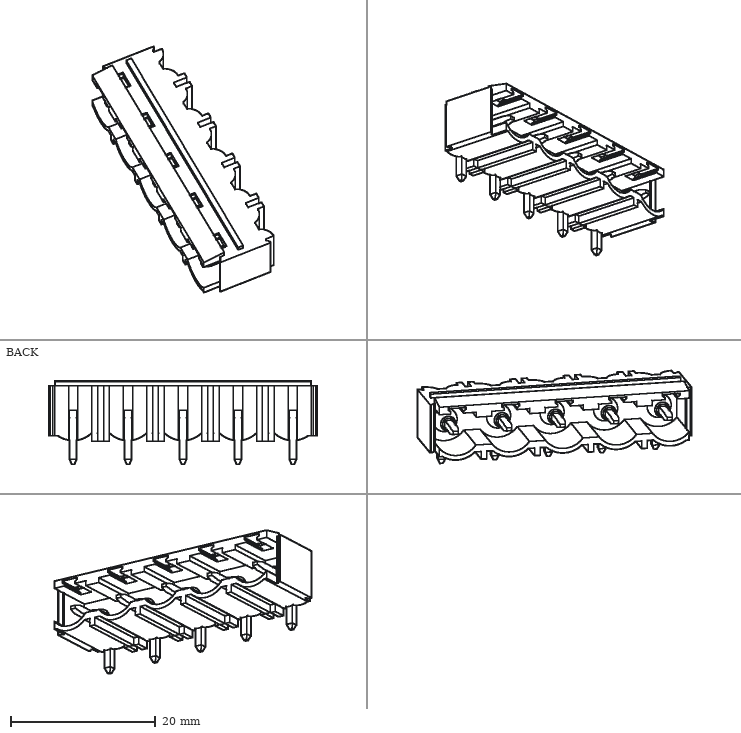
import cadquery as cq
import math


pin_count = 5
row_length = 30.5
pitch = row_length / (pin_count - 1)
pin_z = 3.8
pin_xs = [(i - (pin_count - 1) / 2) * pitch for i in range(pin_count)]
gap_xs = [x + pitch / 2 for x in pin_xs[:-1]]

overall_width = 37.28
body_width = 35.55
half_body = body_width / 2
body_top_z = 7.75
body_back_y = 10.77
end_bottom_z = 0.8

shell_inner_arc_z = 4.1
shell_inner_r = 3.3
shell_outer_r = 3.7
shelf_z = 1.1
valley_z = 2.12

cavity_depth = 7.45
ceiling_z = 6.85

tab_width = 2.15
tab_bottom_z = 6.15

lip_depth = 3.15
lip_flat_depth = 0.25
lip_top_z = 8.43
lip_front_z = 7.95

bar_front_y = 5.25
bar_back_y = 6.05
bar_top_z = 8.3

key_depth = 4.1
key_top_z = 7.65
key_top_width = 2.5
key_bottom_width = 1.8
key_rim_height = 0.22
key_neck_z = 7.12

wing_front_y = 2.1
wing_back_y = 9.88
wing_step = 0.37
wing_neck_width = 0.25
wing_edge_width = 0.2

notch_floor_y = 9.4
notch_width = 1.25

foot_back_y = 11.75
feet_width = 2.45
runner_width = 0.82
foot_gap_floor_y = 9.7

boss_base_r = 1.7
boss_shoulder_r = 1.05
boss_tip_r = 0.82
boss_cone_length = 1.85
boss_shoulder_length = 0.22

pin_size = 1.0
pin_tip_y = 0.9
pin_side_taper_y = 1.68
pin_top_taper_y = 2.1
pin_tip_width = 0.75
pin_tip_height = 0.45
leg_bottom_z = -3.17
leg_taper_z = -2.45
leg_tip_size = 0.4


def box(x_range, y_range, z_range):
    """Block between the given limits."""
    (x0, x1), (y0, y1), (z0, z1) = x_range, y_range, z_range
    return cq.Workplane("XY").box(x1 - x0, y1 - y0, z1 - z0, centered=False).translate((x0, y0, z0))


def centered_box(x, width, y_range, z_range):
    """Block of a given width about x."""
    return box((x - width / 2, x + width / 2), y_range, z_range)


def scalloped_block(arc_z, radius, flat_z, top_z, depth):
    """Full-width block with a flat underside and a round lobe below each contact."""
    block = centered_box(0, body_width, (0, depth), (flat_z, top_z))
    for x in pin_xs:
        lobe = cq.Workplane("XZ", origin=(x, 0, arc_z)).circle(radius).extrude(-depth)
        block = block.union(lobe)
    return block.intersect(centered_box(0, body_width, (0, depth), (0, top_z)))


def make_shell():
    """Outer body, with its two bottom end corners filled down to the end walls."""
    shell = scalloped_block(pin_z, shell_outer_r, shelf_z, body_top_z, body_back_y)
    for left_x, right_x in ((-half_body, pin_xs[0]), (pin_xs[-1], half_body)):
        shell = shell.union(box((left_x, right_x), (0, body_back_y), (end_bottom_z, pin_z)))
    return shell


def make_wing():
    """Dovetail wall on the +X end."""
    neck_x = half_body + wing_neck_width
    outer_x = overall_width / 2
    edge_x = outer_x - wing_edge_width
    front_neck_y = wing_front_y + wing_step
    back_neck_y = wing_back_y - wing_step
    outline = [
        (half_body, front_neck_y), (neck_x, front_neck_y), (edge_x, wing_front_y), (outer_x, wing_front_y),
        (outer_x, wing_back_y), (edge_x, wing_back_y), (neck_x, back_neck_y), (half_body, back_neck_y),
    ]
    height = body_top_z - end_bottom_z
    return cq.Workplane("XY").workplane(offset=end_bottom_z).polyline(outline).close().extrude(height)


def make_lip():
    """Lip with a sloping top."""
    profile = [
        (0, ceiling_z), (lip_depth, ceiling_z), (lip_depth, lip_top_z),
        (lip_depth - lip_flat_depth, lip_top_z), (0, lip_front_z),
    ]
    return cq.Workplane("YZ").workplane(offset=-half_body).polyline(profile).close().extrude(body_width)


def make_key_slot(x):
    """Slot under the lip, wider at the top, that opens through the roof behind the lip."""
    top = key_top_width / 2
    bottom = key_bottom_width / 2
    rim_z = key_top_z - key_rim_height
    profile = [
        (x - top, key_top_z), (x - top, rim_z), (x - bottom, key_neck_z), (x - bottom, ceiling_z),
        (x + bottom, ceiling_z), (x + bottom, key_neck_z), (x + top, rim_z), (x + top, key_top_z),
    ]
    slot = cq.Workplane("XZ").polyline(profile).close().extrude(-key_depth)
    opening = centered_box(x, key_top_width, (lip_depth, key_depth), (rim_z, body_top_z))
    return slot.union(opening)


def make_back_scallop(x):
    """Cutter for the notch behind a contact, flared by two arcs that meet the back face tangentially."""
    half_notch = notch_width / 2
    reach = half_body - pin_xs[-1]
    run = reach - half_notch
    rise = body_back_y - notch_floor_y
    radius = (run ** 2 + rise ** 2) / (2 * rise)
    half_angle = math.asin(run / radius) / 2
    mid_x = reach - radius * math.sin(half_angle)
    mid_y = body_back_y - radius * (1 - math.cos(half_angle))
    return (
        cq.Workplane("XY")
        .moveTo(x - half_notch, notch_floor_y)
        .lineTo(x + half_notch, notch_floor_y)
        .threePointArc((x + mid_x, mid_y), (x + reach, body_back_y))
        .lineTo(x - reach, body_back_y)
        .threePointArc((x - mid_x, mid_y), (x - half_notch, notch_floor_y))
        .close()
        .extrude(body_top_z)
    )


def make_boss(x):
    """Two-stage cone on the cavity back wall."""
    shoulder_y = cavity_depth - boss_cone_length
    tip_y = shoulder_y - boss_shoulder_length
    profile = [
        (0, cavity_depth), (boss_base_r, cavity_depth), (boss_shoulder_r, shoulder_y),
        (boss_tip_r, tip_y), (0, tip_y),
    ]
    boss = cq.Workplane("XY").polyline(profile).close().revolve(360, (0, 0), (0, 1))
    return boss.translate((x, 0, pin_z))


def make_pin_hole(x):
    """Square passage that the contact fills."""
    half = pin_size / 2
    return centered_box(x, pin_size, (0, notch_floor_y), (pin_z - half, pin_z + half))


def make_housing():
    """Scalloped shell with its cavity, end walls, lip, tabs, feet and bosses."""
    housing = make_shell()
    for x in pin_xs:
        housing = housing.cut(make_back_scallop(x))

    cavity = scalloped_block(shell_inner_arc_z, shell_inner_r, valley_z, ceiling_z, cavity_depth)
    housing = housing.cut(cavity)

    wing = make_wing()
    housing = housing.union(wing).union(wing.mirror("YZ"))
    housing = housing.union(make_lip())
    housing = housing.union(centered_box(0, body_width, (bar_front_y, bar_back_y), (body_top_z, bar_top_z)))

    for x in gap_xs:
        tab = centered_box(x, tab_width, (0, cavity_depth), (tab_bottom_z, ceiling_z))
        feet = centered_box(x, feet_width, (foot_gap_floor_y, foot_back_y), (0, body_top_z))
        foot_gap = centered_box(x, runner_width, (foot_gap_floor_y, foot_back_y), (0, body_top_z))
        runner = centered_box(x, runner_width, (0, foot_gap_floor_y), (0, shelf_z))
        housing = housing.union(tab).union(feet).cut(foot_gap).union(runner)

    for x in pin_xs:
        housing = housing.union(make_boss(x)).cut(make_key_slot(x)).cut(make_pin_hole(x))
    return housing


def tapered_outline(plane, tip_size, taper_y):
    """Outline of the mating bar, narrowing to its tip in the first direction of the plane."""
    half = pin_size / 2
    half_tip = tip_size / 2
    return cq.Workplane(plane).polyline([
        (-half, notch_floor_y), (-half, taper_y), (-half_tip, pin_tip_y),
        (half_tip, pin_tip_y), (half, taper_y), (half, notch_floor_y),
    ]).close()


def make_pin_bar(x):
    """Mating bar, whose top and bottom tapers start further back than its side tapers."""
    half = pin_size / 2
    side_tapered = tapered_outline("XY", pin_tip_width, pin_side_taper_y).extrude(half, both=True)
    top_tapered = tapered_outline("ZY", pin_tip_height, pin_top_taper_y).extrude(half, both=True)
    return side_tapered.intersect(top_tapered).translate((x, 0, pin_z))


def make_pin(x):
    """Square contact that turns down behind the housing, tapered at both ends."""
    half = pin_size / 2
    leg_y = notch_floor_y + half
    top_z = pin_z + half
    bottom_z = pin_z - half
    bar = make_pin_bar(x)
    bend = (
        cq.Workplane("YZ")
        .workplane(offset=x - half)
        .moveTo(notch_floor_y, bottom_z)
        .lineTo(notch_floor_y, top_z)
        .radiusArc((notch_floor_y + pin_size, bottom_z), pin_size)
        .close()
        .extrude(pin_size)
    )
    leg = centered_box(x, pin_size, (leg_y - half, leg_y + half), (leg_taper_z, bottom_z))
    leg_tip = (
        cq.Workplane("XY", origin=(x, leg_y, leg_bottom_z))
        .rect(leg_tip_size, leg_tip_size)
        .workplane(offset=leg_taper_z - leg_bottom_z)
        .rect(pin_size, pin_size)
        .loft()
    )
    return bar.union(bend).union(leg).union(leg_tip)


housing = make_housing()
pins = [make_pin(x) for x in pin_xs]

result = cq.Compound.makeCompound([housing.solids().val(), *[pin.solids().val() for pin in pins]])